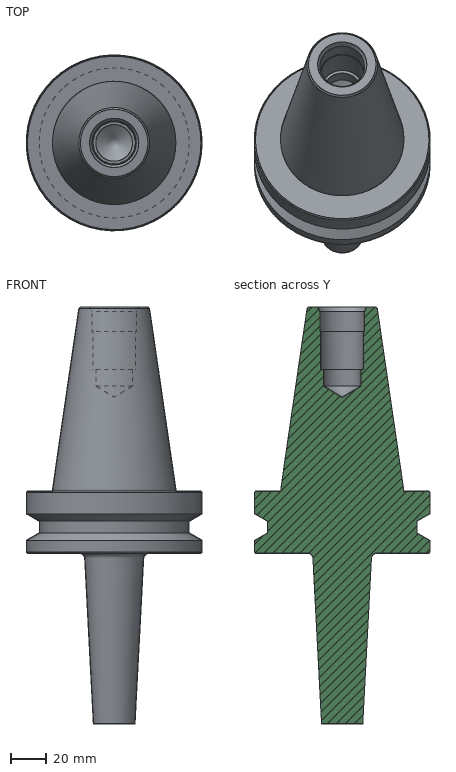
import cadquery as cq
import math

TOTAL_HEIGHT = 236.8
FLANGE_BOTTOM = 96.9
FLANGE_HEIGHT = 35.3
FLANGE_TOP = FLANGE_BOTTOM + FLANGE_HEIGHT

GAUGE_HEIGHT = 135.0
GAUGE_RADIUS = 34.8
TAPER_SLOPE = 7 / 48
COLLAR_HEIGHT = 1.2
TAPER_BASE = FLANGE_TOP + COLLAR_HEIGHT
TAPER_TOP_CHAMFER = 1.0

FLANGE_RADIUS = 50.0
FLANGE_CHAMFER = 0.7
GROOVE_ROOT_RADIUS = 42.6
GROOVE_ROOT_WIDTH = 6.6
GROOVE_CENTER = 111.8
GROOVE_FLANK_ANGLE = 30

SHANK_TIP_RADIUS = 11.8
SHANK_ANGLE = 3
SHANK_FILLET = 3.0

MOUTH_RADIUS = 14.0
PILOT_RADIUS = 12.5
MOUTH_DEPTH = 2.5
PILOT_DEPTH = 14.0
CORE_RADIUS = 10.5
CORE_DEPTH = 45.0
THREAD_RADIUS = 12.0
THREAD_DEPTH = 35.5
DRILL_POINT_ANGLE = 118


def revolve_profile(points):
    """Turn a closed (radius, height) outline about the Z axis."""
    return cq.Workplane("XZ").polyline(points).close().revolve(360, (0, 0), (0, 1))


def taper_radius(height):
    return GAUGE_RADIUS - (height - GAUGE_HEIGHT) * TAPER_SLOPE


def make_taper():
    chamfer_base = TOTAL_HEIGHT - TAPER_TOP_CHAMFER
    base_radius = taper_radius(TAPER_BASE)
    edge_radius = taper_radius(chamfer_base)
    return revolve_profile([
        (0, FLANGE_BOTTOM),
        (base_radius, FLANGE_BOTTOM),
        (base_radius, TAPER_BASE),
        (edge_radius, chamfer_base),
        (edge_radius - TAPER_TOP_CHAMFER, TOTAL_HEIGHT),
        (0, TOTAL_HEIGHT),
    ])


def make_flange():
    disc = (
        cq.Workplane("XY", origin=(0, 0, FLANGE_BOTTOM))
        .circle(FLANGE_RADIUS)
        .extrude(FLANGE_HEIGHT)
        .faces("<Z or >Z")
        .edges()
        .chamfer(FLANGE_CHAMFER)
    )
    half_root = GROOVE_ROOT_WIDTH / 2
    groove_depth = FLANGE_RADIUS - GROOVE_ROOT_RADIUS
    half_mouth = half_root + groove_depth * math.tan(math.radians(GROOVE_FLANK_ANGLE))
    groove = revolve_profile([
        (GROOVE_ROOT_RADIUS, GROOVE_CENTER - half_root),
        (FLANGE_RADIUS, GROOVE_CENTER - half_mouth),
        (FLANGE_RADIUS, GROOVE_CENTER + half_mouth),
        (GROOVE_ROOT_RADIUS, GROOVE_CENTER + half_root),
    ])
    return disc.cut(groove)


def make_shank():
    """Cone whose upper end flares into the flange with a concave fillet."""
    angle = math.radians(SHANK_ANGLE)
    center_height = FLANGE_BOTTOM - SHANK_FILLET
    center_radius = (
        SHANK_TIP_RADIUS + center_height * math.tan(angle) + SHANK_FILLET / math.cos(angle)
    )

    def arc_point(direction):
        return (
            center_radius - SHANK_FILLET * math.cos(direction),
            center_height + SHANK_FILLET * math.sin(direction),
        )

    return (
        cq.Workplane("XZ")
        .lineTo(SHANK_TIP_RADIUS, 0)
        .lineTo(*arc_point(angle))
        .threePointArc(arc_point((angle + math.pi / 2) / 2), (center_radius, FLANGE_BOTTOM))
        .lineTo(0, FLANGE_BOTTOM)
        .close()
        .revolve(360, (0, 0), (0, 1))
    )


def make_bore():
    """Conical mouth, pilot, thread-diameter hole, core hole and drill point."""
    point_height = CORE_RADIUS / math.tan(math.radians(DRILL_POINT_ANGLE / 2))
    return revolve_profile([
        (0, TOTAL_HEIGHT),
        (MOUTH_RADIUS, TOTAL_HEIGHT),
        (PILOT_RADIUS, TOTAL_HEIGHT - MOUTH_DEPTH),
        (PILOT_RADIUS, TOTAL_HEIGHT - PILOT_DEPTH),
        (THREAD_RADIUS, TOTAL_HEIGHT - PILOT_DEPTH),
        (THREAD_RADIUS, TOTAL_HEIGHT - THREAD_DEPTH),
        (CORE_RADIUS, TOTAL_HEIGHT - THREAD_DEPTH),
        (CORE_RADIUS, TOTAL_HEIGHT - CORE_DEPTH),
        (0, TOTAL_HEIGHT - CORE_DEPTH - point_height),
    ])


result = make_taper().union(make_flange()).union(make_shank()).cut(make_bore())